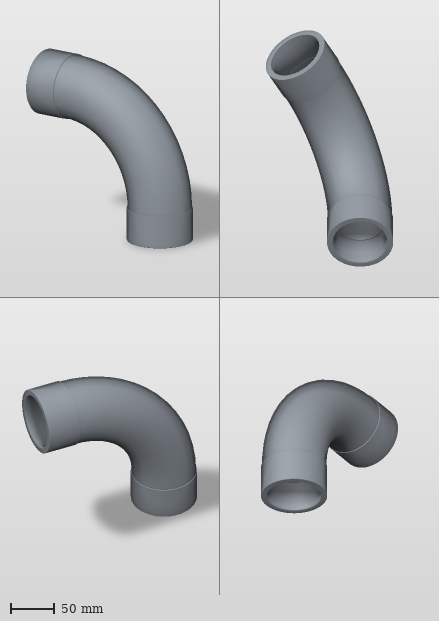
import cadquery as cq


SOCKET_BORE = 63.0
SOCKET_WALL = 7.0
SOCKET_LENGTH = 39.0
SOCKET_DEPTH = 38.0
MOUTH_CHAMFER = 0.5
OUTSIDE_STEP = 1.0
PIPE_STOP = 1.0
BEND_RADIUS = 125.0
BEND_ANGLE = 90.0

socket_inner_radius = SOCKET_BORE / 2
socket_outer_radius = socket_inner_radius + SOCKET_WALL
bend_inner_radius = socket_inner_radius - PIPE_STOP
bend_outer_radius = socket_outer_radius - OUTSIDE_STEP

left_end = cq.Plane(origin=(0, 0, BEND_RADIUS), xDir=(0, 1, 0), normal=(-1, 0, 0))
lower_end = cq.Plane(origin=(BEND_RADIUS, 0, 0), xDir=(1, 0, 0), normal=(0, 0, -1))


def make_bend():
    """Hollow quarter torus running from the lower end round to the left end."""
    axis_start = (-BEND_RADIUS, 0)
    axis_end = (-BEND_RADIUS, 1)
    return (
        cq.Workplane(lower_end)
        .circle(bend_outer_radius)
        .circle(bend_inner_radius)
        .revolve(BEND_ANGLE, axis_start, axis_end)
    )


def make_socket(end_plane):
    """Sleeve with a stepped bore and chamfered mouth, running outwards from one end of the bend."""
    sleeve = (
        cq.Workplane(end_plane)
        .circle(socket_outer_radius)
        .circle(bend_inner_radius)
        .extrude(SOCKET_LENGTH)
    )
    bore = (
        cq.Workplane(end_plane)
        .workplane(offset=SOCKET_LENGTH - SOCKET_DEPTH)
        .circle(socket_inner_radius)
        .extrude(SOCKET_DEPTH)
    )
    mouth = cq.DirectionMinMaxSelector(end_plane.zDir, directionMax=True)
    return sleeve.cut(bore).faces(mouth).edges().chamfer(MOUTH_CHAMFER)


result = make_bend()
for end_plane in (left_end, lower_end):
    result = result.union(make_socket(end_plane))